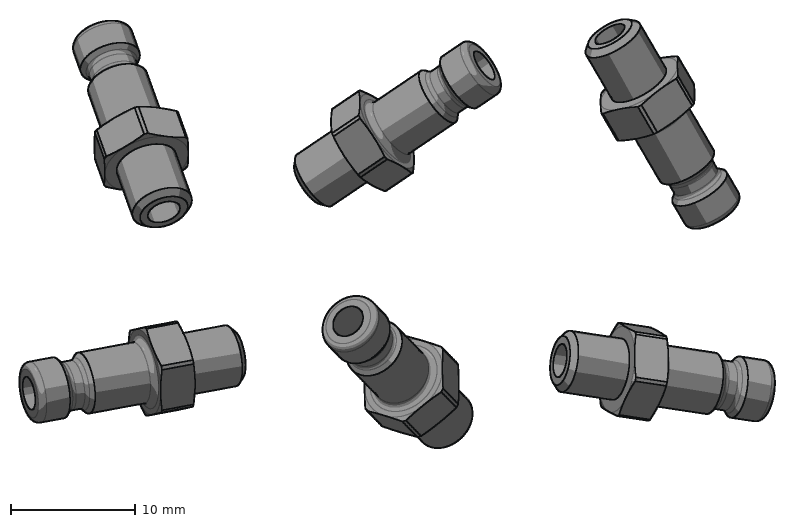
import cadquery as cq
import math

length = 18.0
body_radius = 5.0 / 2
bore_diameter = 2.7
edge_size = 0.5

groove_start = 2.55
groove_width = 2.18
groove_radius = 4.0 / 2

hex_start = 10.0
hex_end = 13.0
hex_across_flats = 7.0
hex_corner_diameter = 7.9
hex_chamfer_angle = 15.0


def turned_body():
    """Revolve the round body with its nose, locking groove and tail."""
    groove_end = groove_start + groove_width
    sine = math.sin(math.radians(45))
    fillet_run = edge_size * sine
    fillet_rise = edge_size * (1 - sine)
    flank = body_radius - groove_radius - fillet_rise
    flank_radius = groove_radius + fillet_rise
    floor_start = groove_start + flank + fillet_run
    floor_end = groove_end - flank - fillet_run
    collar_start = hex_start - edge_size
    collar_radius = body_radius + edge_size

    profile = (
        cq.Workplane("XY")
        .lineTo(0, body_radius - edge_size)
        .radiusArc((edge_size, body_radius), edge_size)
        .lineTo(groove_start, body_radius)
        .lineTo(groove_start + flank, flank_radius)
        .radiusArc((floor_start, groove_radius), -edge_size)
        .lineTo(floor_end, groove_radius)
        .radiusArc((groove_end - flank, flank_radius), -edge_size)
        .lineTo(groove_end, body_radius)
        .lineTo(collar_start, body_radius)
        .radiusArc((hex_start, collar_radius), -edge_size)
        .lineTo(hex_end, collar_radius)
        .lineTo(hex_end, body_radius)
        .lineTo(length - edge_size, body_radius)
        .lineTo(length, body_radius - edge_size)
        .lineTo(length, 0)
        .close()
    )
    return profile.revolve(360, (0, 0, 0), (1, 0, 0))


def hexagon():
    """Hexagon with corners up and down, trimmed by a double-coned cylinder."""
    flat_radius = hex_across_flats / 2
    corner_radius = hex_corner_diameter / 2
    chamfer_depth = (corner_radius - flat_radius) * math.tan(math.radians(hex_chamfer_angle))
    sharp_corner_diameter = hex_across_flats / math.cos(math.radians(30))

    prism = (
        cq.Workplane("YZ", origin=(hex_start, 0, 0))
        .transformed(rotate=(0, 0, 90))
        .polygon(6, sharp_corner_diameter)
        .extrude(hex_end - hex_start)
    )
    envelope = (
        cq.Workplane("XY")
        .moveTo(hex_start, 0)
        .lineTo(hex_start, flat_radius)
        .lineTo(hex_start + chamfer_depth, corner_radius)
        .lineTo(hex_end - chamfer_depth, corner_radius)
        .lineTo(hex_end, flat_radius)
        .lineTo(hex_end, 0)
        .close()
        .revolve(360, (0, 0, 0), (1, 0, 0))
    )
    return prism.intersect(envelope)


bore = cq.Workplane("YZ").circle(bore_diameter / 2).extrude(length)
result = turned_body().union(hexagon()).cut(bore)